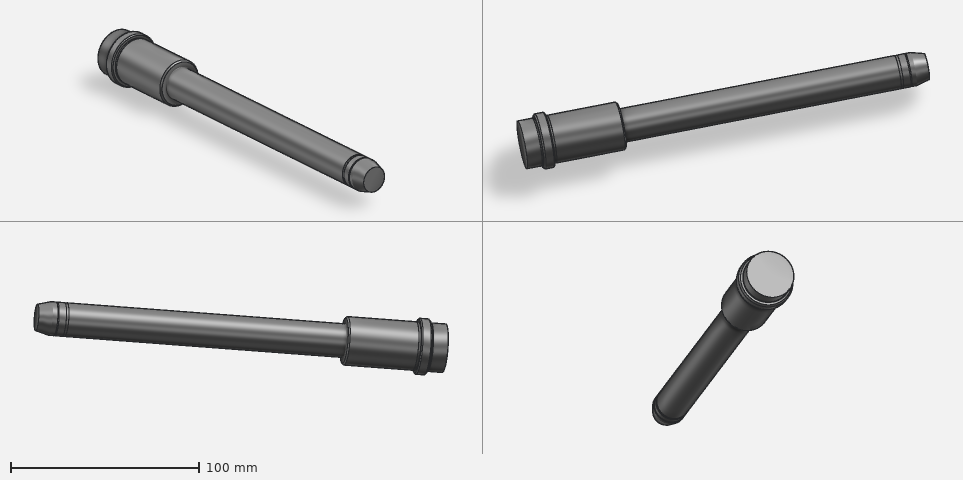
import cadquery as cq
import math

head_diameter = 26.0
flange_diameter = 30.0
shaft_diameter = 18.0

total_length = 220.0
flange_start = 8.8
flange_end = 14.7
head_end = 54.0

front_flange_chamfer = 0.9
rear_flange_chamfer = 0.7
head_chamfer = 0.9
shaft_root_fillet = 0.5

front_undercut_depth = 0.2
front_undercut_width = 0.77
rear_undercut_depth = 0.1
rear_undercut_width = 1.2

groove_depth = 0.1
groove_starts_and_widths = [(204.2, 1.3), (209.5, 0.7)]

tip_length = 7.3
tip_angle = 15.0
tip_diameter = shaft_diameter - 2 * tip_length * math.tan(math.radians(tip_angle))


def cylinder(start, length, diameter):
    """Solid cylinder along X."""
    return cq.Workplane("YZ", origin=(start, 0, 0)).circle(diameter / 2).extrude(length)


def ring_cut(start, width, diameter, depth):
    """Ring that removes the given depth from a cylinder of the given diameter."""
    outer = cylinder(start, width, diameter + 2 * depth)
    return outer.cut(cylinder(start, width, diameter - 2 * depth))


head = cylinder(0, head_end, head_diameter).faces(">X").chamfer(head_chamfer)
front_undercut_start = flange_start - front_undercut_width
head = head.cut(ring_cut(front_undercut_start, front_undercut_width, head_diameter, front_undercut_depth))
head = head.cut(ring_cut(flange_end, rear_undercut_width, head_diameter, rear_undercut_depth))

flange = cylinder(flange_start, flange_end - flange_start, flange_diameter)
flange = flange.faces("<X").chamfer(front_flange_chamfer)
flange = flange.faces(">X").chamfer(rear_flange_chamfer)

tip_start = total_length - tip_length
shaft = cylinder(head_end, tip_start - head_end, shaft_diameter)
for groove_start, groove_width in groove_starts_and_widths:
    shaft = shaft.cut(ring_cut(groove_start, groove_width, shaft_diameter, groove_depth))

tip = (
    cq.Workplane("YZ", origin=(tip_start, 0, 0))
    .circle(shaft_diameter / 2)
    .workplane(offset=tip_length)
    .circle(tip_diameter / 2)
    .loft(ruled=True)
)

root_tolerance = 0.02
root_radius = shaft_diameter / 2 + root_tolerance
root_edge = cq.selectors.BoxSelector(
    (head_end - root_tolerance, -root_radius, -root_radius),
    (head_end + root_tolerance, root_radius, root_radius),
    boundingbox=True,
)
body = head.union(shaft).edges(root_edge).fillet(shaft_root_fillet)
result = body.union(flange).union(tip)